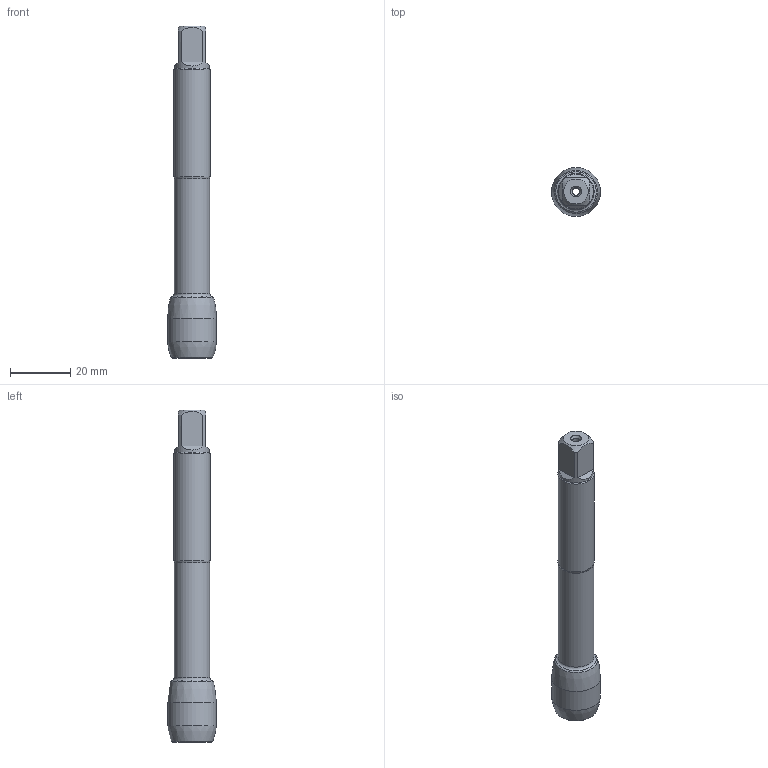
import cadquery as cq
import math

total_length = 110.0

grip_diameter = 12.0
shank_diameter = 11.7
neck_diameter = 11.52
bore_diameter = 2.5
grip_bottom_z = 60.0
grip_top_z = 96.0
step_chamfer_height = 0.6
grip_chamfer_height = 0.3

square_width = 9.0
flat_count = 4
square_length = 12.0
drive_tip_diameter = 8.25
drive_tip_height = 1.7
countersink_diameter = 3.6
countersink_angle = 60.0
countersink_depth = (countersink_diameter - bore_diameter) / 2 / math.tan(math.radians(countersink_angle / 2))

head_diameter = 16.19
head_base_diameter = 13.1
head_lower_rim_diameter = 13.9
head_upper_rim_diameter = 14.3
head_shoulder_z = 20.45
head_fillet_radius = 0.85
head_base_chamfer_height = 0.3
head_belt_bottom_z = 5.35
head_belt_top_z = 13.0
head_upper_rim_z = 20.02
head_lower_bulge_radius = 15.0
head_upper_bulge_radius = 26.0


def make_shaft():
    """Stepped round shaft with a square drive and a through bore."""
    grip_r = grip_diameter / 2
    shank_r = shank_diameter / 2
    neck_r = neck_diameter / 2
    blank = (
        cq.Workplane("XZ")
        .moveTo(0, 0)
        .lineTo(shank_r, 0)
        .lineTo(shank_r, grip_bottom_z - step_chamfer_height)
        .lineTo(grip_r, grip_bottom_z)
        .lineTo(grip_r, grip_top_z - grip_chamfer_height)
        .lineTo(neck_r, grip_top_z)
        .lineTo(neck_r, total_length - drive_tip_height)
        .lineTo(drive_tip_diameter / 2, total_length)
        .lineTo(0, total_length)
        .close()
        .revolve()
    )
    return drill_bore(cut_flats(blank))


def cut_flats(blank):
    """Mill the flats whose lower ends slope out at 45 degrees to the neck surface."""
    flat = square_width / 2
    clear = grip_diameter
    flat_bottom_z = total_length - square_length
    run = neck_diameter / 2 - flat
    cutter = (
        cq.Workplane("XZ")
        .moveTo(flat, total_length)
        .lineTo(flat, flat_bottom_z)
        .lineTo(flat + run, flat_bottom_z - run)
        .lineTo(clear, flat_bottom_z - run)
        .lineTo(clear, total_length)
        .close()
        .extrude(clear, both=True)
    )
    for side in range(flat_count):
        blank = blank.cut(cutter.rotate((0, 0, 0), (0, 0, 1), 360 / flat_count * side))
    return blank


def drill_bore(blank):
    """Through bore with a 60 degree countersink at the drive end."""
    bore_r = bore_diameter / 2
    tool = (
        cq.Workplane("XZ")
        .lineTo(bore_r, 0)
        .lineTo(bore_r, total_length - countersink_depth)
        .lineTo(countersink_diameter / 2, total_length)
        .lineTo(0, total_length)
        .close()
        .revolve()
    )
    return blank.cut(tool)


def bulge_sag(start, end, radius):
    """Height of a shallow arc of the given radius over the chord start-end."""
    half_chord_sq = ((end[0] - start[0]) ** 2 + (end[1] - start[1]) ** 2) / 4
    return radius - math.sqrt(radius ** 2 - half_chord_sq)


def make_head():
    """Barrel-shaped sleeve around the lower end of the shank, with a concave fillet at its top."""
    hole_r = shank_diameter / 2
    head_r = head_diameter / 2
    lower_rim = (head_lower_rim_diameter / 2, head_base_chamfer_height)
    belt_bottom = (head_r, head_belt_bottom_z)
    belt_top = (head_r, head_belt_top_z)
    upper_rim = (head_upper_rim_diameter / 2, head_upper_rim_z)
    return (
        cq.Workplane("XZ")
        .moveTo(hole_r, 0)
        .lineTo(head_base_diameter / 2, 0)
        .lineTo(*lower_rim)
        .sagittaArc(belt_bottom, -bulge_sag(lower_rim, belt_bottom, head_lower_bulge_radius))
        .lineTo(*belt_top)
        .sagittaArc(upper_rim, -bulge_sag(belt_top, upper_rim, head_upper_bulge_radius))
        .lineTo(hole_r + head_fillet_radius, head_shoulder_z)
        .radiusArc((hole_r, head_shoulder_z + head_fillet_radius), head_fillet_radius)
        .close()
        .revolve()
    )


shaft = make_shaft()
head = make_head()
result = cq.Compound.makeCompound([shaft.val(), head.val()])